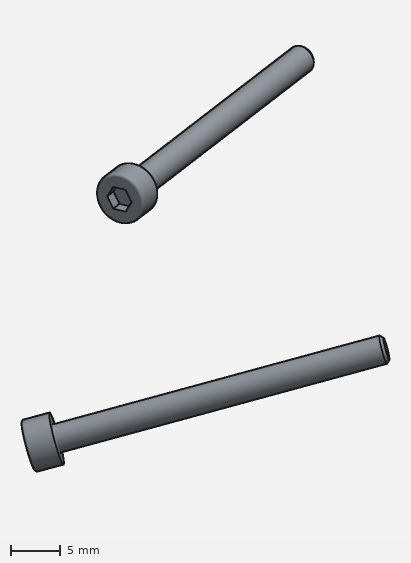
import cadquery as cq
import math

total_length = 38.0
head_diameter = 5.5
head_length = 3.0
head_edge_fillet = 0.3

shank_diameter = 3.0
tip_chamfer = 0.35
neck_fillet = 0.1

hex_across_flats = 2.47
hex_depth = 1.3

head_front = -total_length / 2
head_back = head_front + head_length
tip_end = total_length / 2


def plane_facing_tip(y):
    """Plane at position y whose normal is +Y and whose local x is global X."""
    return cq.Plane(origin=(0, y, 0), xDir=(1, 0, 0), normal=(0, 1, 0))


def make_head():
    head = cq.Workplane(plane_facing_tip(head_front)).circle(head_diameter / 2).extrude(head_length)
    return head.faces("<Y").edges().fillet(head_edge_fillet)


def make_shank():
    shank = cq.Workplane(plane_facing_tip(head_back)).circle(shank_diameter / 2).extrude(tip_end - head_back)
    return shank.faces(">Y").chamfer(tip_chamfer)


def make_hex_socket():
    across_corners = hex_across_flats / math.cos(math.pi / 6)
    return cq.Workplane(plane_facing_tip(head_front)).polygon(6, across_corners).extrude(hex_depth)


body = make_head().union(make_shank())
neck_edge = cq.selectors.RadiusNthSelector(0)
body = body.faces(cq.selectors.NearestToPointSelector((0, head_back, 0))).edges(neck_edge).fillet(neck_fillet)
result = body.cut(make_hex_socket())